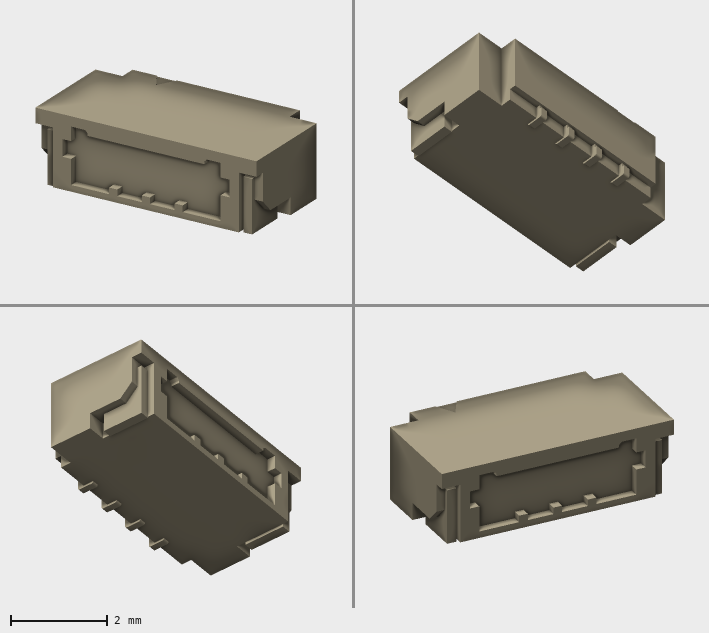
import cadquery as cq


width = 5.4
depth = 2.77
height = 1.75
standoff = 0.05
back_step_width = 0.66
back_step_depth = 0.4
half_width = width / 2

cavity_depth = 0.2
cavity_half_width = half_width - 0.875
cavity_top = height - 0.23
cavity_bottom = standoff + 0.15
lip_bottom = height - 0.35
lip_half_width = half_width - 1.275
lip_chamfer = 0.06
side_slot_half_width = half_width - 0.66
side_slot_top = 1.19
side_slot_bottom = 0.79

contact_count = 4
contact_pitch = 0.8
contact_width = 0.155
contact_recess = 0.055
foot_top = 0.255
foot_radius = 0.05
back_recess_depth = 0.15
back_recess_top = 0.355
post_width = 0.2
post_height = 0.15

pocket_width = 0.43
pocket_top = lip_bottom
pocket_front_depth = 0.25
pocket_back_depth = 1.345
slope_top = 0.75
slope_bottom = 0.45
slope_run = slope_top - slope_bottom
tab_inset = 0.2
tab_thickness = 0.215
tab_front = 0.15
tab_back = 1.14
tab_top = height - 0.495

mark_length = 0.43
mark_half_width = 0.25
mark_depth = 0.02


def box(x_range, y_range, z_range):
    """Box between the given limits along each axis."""
    size = [high - low for low, high in (x_range, y_range, z_range)]
    corner = (x_range[0], y_range[0], z_range[0])
    return cq.Workplane("XY").box(*size, centered=False).translate(corner)


def centered_positions(count):
    """X positions at the contact pitch, centered on the housing."""
    return [(i - (count - 1) / 2) * contact_pitch for i in range(count)]


def make_housing():
    step_x = half_width - back_step_width
    step_y = depth - back_step_depth
    body = box((-half_width, half_width), (0, step_y), (standoff, height))
    back = box((-step_x, step_x), (step_y, depth), (standoff, height))
    recess = box((-step_x, step_x), (depth - back_recess_depth, depth), (standoff, back_recess_top))
    return body.union(back).cut(recess)


def make_cavity():
    right_half = [
        (0, lip_bottom),
        (lip_half_width, lip_bottom),
        (lip_half_width, cavity_top - lip_chamfer),
        (lip_half_width + lip_chamfer, cavity_top),
        (cavity_half_width, cavity_top),
        (cavity_half_width, side_slot_top),
        (side_slot_half_width, side_slot_top),
        (side_slot_half_width, side_slot_bottom),
        (cavity_half_width, side_slot_bottom),
        (cavity_half_width, cavity_bottom),
        (0, cavity_bottom),
    ]
    half = cq.Workplane("XZ").polyline(right_half).close().extrude(-cavity_depth)
    cavity = half.union(half.mirror("YZ"))
    for x in centered_positions(contact_count - 1):
        post = box(
            (x - post_width / 2, x + post_width / 2),
            (0, cavity_depth),
            (cavity_bottom, cavity_bottom + post_height),
        )
        cavity = cavity.cut(post)
    return cavity


def make_contact(x):
    """L-shaped contact: a stem in the back recess and a foot under the housing."""
    profile = [
        (depth - back_step_depth, foot_top),
        (depth - back_recess_depth, foot_top),
        (depth - back_recess_depth, back_recess_top),
        (depth - contact_recess, back_recess_top),
        (depth - contact_recess, foot_top),
        (depth, foot_top),
        (depth, 0),
        (depth - back_step_depth, 0),
    ]
    plate = cq.Workplane("YZ").polyline(profile).close().extrude(contact_width)
    plate = plate.faces("<Z").edges("|X").fillet(foot_radius)
    return plate.translate((x - contact_width / 2, 0, 0))


def make_left_pocket():
    profile = [
        (0, standoff),
        (0, pocket_top),
        (pocket_front_depth, pocket_top),
        (pocket_front_depth, slope_top),
        (pocket_front_depth + slope_run, slope_bottom),
        (pocket_back_depth, slope_bottom),
        (pocket_back_depth, standoff),
    ]
    pocket = cq.Workplane("YZ").polyline(profile).close().extrude(pocket_width)
    return pocket.translate((-half_width, 0, 0))


def make_left_tab():
    outer_x = -half_width + tab_inset
    return box((outer_x, outer_x + tab_thickness), (tab_front, tab_back), (0, tab_top))


def make_pin_one_mark():
    x = centered_positions(contact_count)[0]
    corners = [
        (x - mark_half_width, depth),
        (x + mark_half_width, depth),
        (x, depth - mark_length),
    ]
    mark = cq.Workplane("XY").polyline(corners).close().extrude(mark_depth)
    return mark.translate((0, 0, height - mark_depth))


result = make_housing().cut(make_cavity()).cut(make_pin_one_mark())

pocket = make_left_pocket()
result = result.cut(pocket).cut(pocket.mirror("YZ"))

tab = make_left_tab()
result = result.union(tab).union(tab.mirror("YZ"))

for contact_x in centered_positions(contact_count):
    result = result.union(make_contact(contact_x))